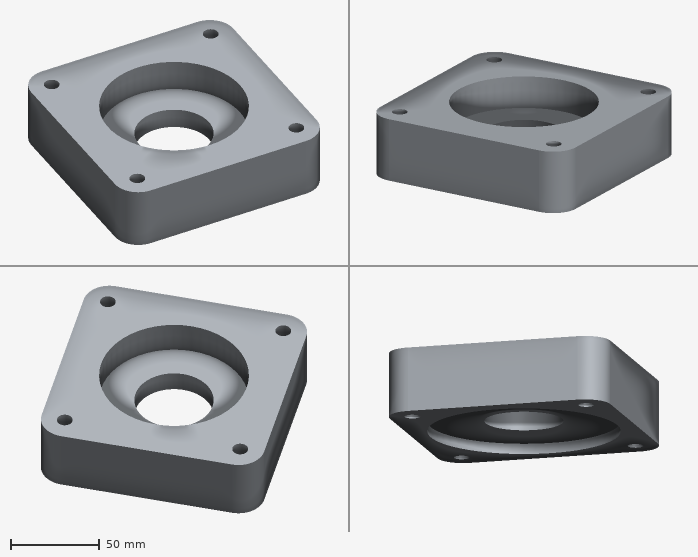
import cadquery as cq

side = 130.0
height = 37.0
corner_radius = 15.0

bore_diameter = 85.0
bore_depth = 19.0
through_diameter = 45.0
recess_diameter = 110.0
recess_depth = 6.0

mount_diameter = 9.0
bolt_circle_diameter = 145.0
mount_count = 4
first_mount_angle = 45.0


def rounded_block():
    """Block resting on Z = 0 with rounded vertical corners."""
    block = cq.Workplane("XY").box(side, side, height, centered=(True, True, False))
    return block.edges("|Z").fillet(corner_radius)


def cylinder(diameter, bottom, length):
    """Cylinder on the central axis, used as a cutter."""
    return cq.Workplane("XY").workplane(offset=bottom).circle(diameter / 2).extrude(length)


def mounting_holes():
    """Cutters for the through holes in the corners."""
    return (
        cq.Workplane("XY")
        .polarArray(bolt_circle_diameter / 2, first_mount_angle, 360, mount_count)
        .circle(mount_diameter / 2)
        .extrude(height)
    )


result = (
    rounded_block()
    .cut(cylinder(through_diameter, 0, height))
    .cut(cylinder(bore_diameter, height - bore_depth, bore_depth))
    .cut(cylinder(recess_diameter, 0, recess_depth))
    .cut(mounting_holes())
)